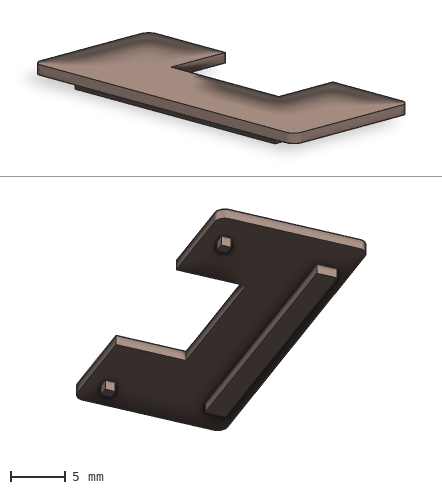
import cadquery as cq

length = 34.0
width = 15.0
total_height = 2.0
plate_thickness = total_height / 2
rib_height = total_height - plate_thickness
corner_radius = 1.0

notch_length = 14.0
notch_depth = 7.0

edge_inset = 1.5
rib_length = 26.0
rib_width = 2.0
peg_size = 1.0
peg_span = rib_length + 2 * peg_size


def box(x_size, y_size, z_size, x_center, y_min, z_min):
    """Box centred on x_center, growing in +Y and +Z from its minimum corner."""
    return cq.Workplane("XY").box(x_size, y_size, z_size, centered=(True, False, False)).translate(
        (x_center, y_min, z_min)
    )


def make_plate():
    """Rounded plate with a rectangular notch open at the rear edge."""
    plate = box(length, width, plate_thickness, 0, 0, rib_height).edges("|Z").fillet(corner_radius)
    notch = box(notch_length, notch_depth, plate_thickness, 0, width - notch_depth, rib_height)
    return plate.cut(notch)


result = make_plate()

result = result.union(box(rib_length, rib_width, rib_height, 0, edge_inset, 0))

peg_y = width - edge_inset - peg_size
for side in (-1, 1):
    peg_x = side * (peg_span - peg_size) / 2
    result = result.union(box(peg_size, peg_size, rib_height, peg_x, peg_y, 0))